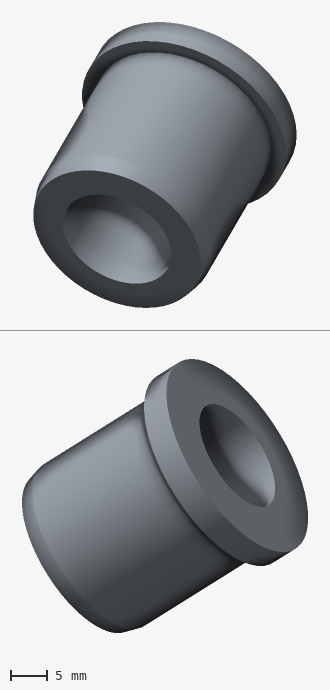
import cadquery as cq
import math

bore_diameter = 16.0
body_diameter = 26.0
flange_diameter = 30.0
flange_thickness = 4.0
total_length = 28.0
lead_in_length = 2.4
lead_in_angle = 15.0

bore_radius = bore_diameter / 2
body_radius = body_diameter / 2
flange_radius = flange_diameter / 2
body_length = total_length - flange_thickness
tip_radius = body_radius - lead_in_length * math.tan(math.radians(lead_in_angle))


def bushing():
    """Revolve the half section (radius along X, length along Y) about the Y axis."""
    half_section = (
        cq.Workplane("XY")
        .moveTo(bore_radius, -body_length)
        .lineTo(tip_radius, -body_length)
        .lineTo(body_radius, lead_in_length - body_length)
        .lineTo(body_radius, 0)
        .lineTo(flange_radius, 0)
        .lineTo(flange_radius, flange_thickness)
        .lineTo(bore_radius, flange_thickness)
        .close()
    )
    full_turn = 360
    return half_section.revolve(full_turn, (0, 0, 0), (0, 1, 0))


result = bushing()